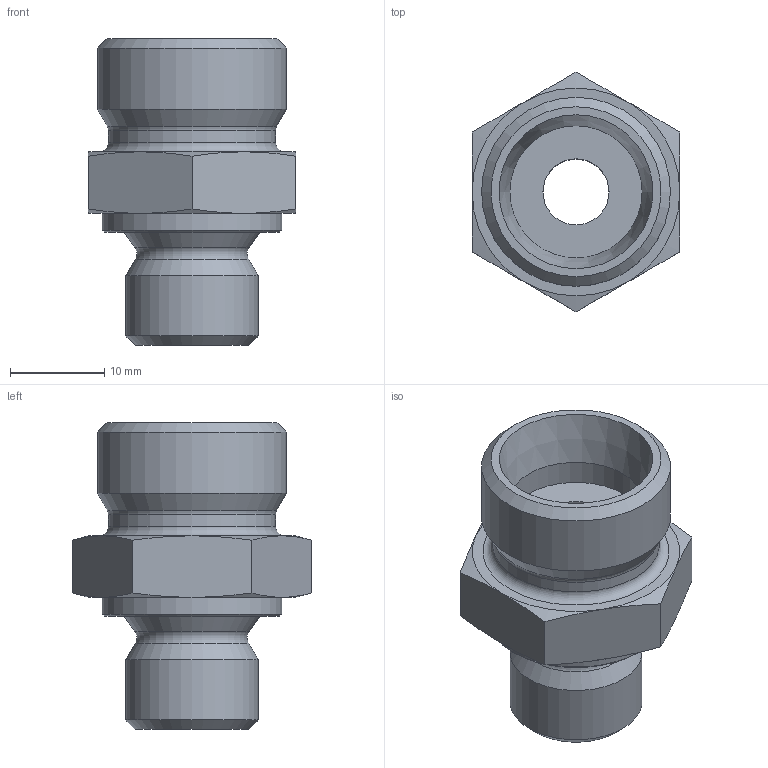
import cadquery as cq
import math

stud_top = 7.4
collar_bottom = 12.0
hex_bottom = 14.0
hex_top = 20.5
upper_thread_bottom = 25.0
total_height = 32.5

stud_radius = 14.0 / 2
upper_radius = 20.0 / 2
thread_chamfer = 1.0

runout_depth = 2.3 / 2
flank_angle = math.radians(30)
upper_flank_angle = math.radians(35)
groove_root_radius = stud_radius - runout_depth
groove_arc_radius = 1.2
neck_radius = upper_radius - runout_depth
neck_fillet = 1.0

collar_radius = 19.0 / 2
collar_chamfer = 0.2

across_flats = 22.0
hex_chamfer_angle = math.radians(15)

through_radius = 7.0 / 2
socket_radius = 14.0 / 2
socket_depth = 8.0
cone_mouth_radius = 16.3 / 2
cone_half_angle = math.radians(12)


def revolve_profile(profile):
    """Turn a closed (radius, height) profile around the Z axis."""
    return profile.close().revolve(360, (0, 0, 0), (0, 1, 0))


def make_stud():
    """Lower threaded end with a round-bottomed groove, and the collar above it."""
    arc_center_radius = groove_root_radius + groove_arc_radius

    lower_tangent_radius = arc_center_radius - groove_arc_radius * math.cos(flank_angle)
    lower_tangent_height = stud_top + (stud_radius - lower_tangent_radius) / math.tan(flank_angle)
    arc_center_height = lower_tangent_height + groove_arc_radius * math.sin(flank_angle)
    upper_tangent_radius = arc_center_radius - groove_arc_radius * math.cos(upper_flank_angle)
    upper_tangent_height = arc_center_height + groove_arc_radius * math.sin(upper_flank_angle)

    upper_flank_height = collar_bottom - upper_tangent_height
    mouth_radius = upper_tangent_radius + upper_flank_height * math.tan(upper_flank_angle)

    profile = (
        cq.Workplane("XZ")
        .lineTo(stud_radius - thread_chamfer, 0)
        .lineTo(stud_radius, thread_chamfer)
        .lineTo(stud_radius, stud_top)
        .lineTo(lower_tangent_radius, lower_tangent_height)
        .threePointArc(
            (groove_root_radius, arc_center_height),
            (upper_tangent_radius, upper_tangent_height),
        )
        .lineTo(mouth_radius, collar_bottom)
        .lineTo(collar_radius - collar_chamfer, collar_bottom)
        .lineTo(collar_radius, collar_bottom + collar_chamfer)
        .lineTo(collar_radius, hex_bottom)
        .lineTo(0, hex_bottom)
    )
    return revolve_profile(profile)


def make_hexagon():
    """Hexagon with corners along Y, trimmed by a cone at each end."""
    height = hex_top - hex_bottom
    corner_radius = across_flats / 2 / math.cos(math.pi / 6)
    prism = (
        cq.Workplane("XY", origin=(0, 0, hex_bottom))
        .polygon(6, 2 * corner_radius)
        .extrude(height)
        .rotate((0, 0, 0), (0, 0, 1), 30)
    )

    face_radius = across_flats / 2
    corner_drop = (corner_radius - face_radius) * math.tan(hex_chamfer_angle)
    trim = revolve_profile(
        cq.Workplane("XZ")
        .moveTo(0, hex_bottom)
        .lineTo(face_radius, hex_bottom)
        .lineTo(corner_radius, hex_bottom + corner_drop)
        .lineTo(corner_radius, hex_top - corner_drop)
        .lineTo(face_radius, hex_top)
        .lineTo(0, hex_top)
    )
    return prism.intersect(trim)


def make_upper_end():
    """Upper threaded end, standing on a neck that flares into the hexagon."""
    neck_top = upper_thread_bottom - (upper_radius - neck_radius) / math.tan(flank_angle)

    tangent_length = neck_fillet * math.tan(flank_angle / 2)
    arc_start = neck_top - tangent_length
    arc_center = neck_radius + neck_fillet
    arc_middle = (
        arc_center - neck_fillet * math.cos(flank_angle / 2),
        arc_start + neck_fillet * math.sin(flank_angle / 2),
    )
    arc_end = (
        arc_center - neck_fillet * math.cos(flank_angle),
        arc_start + neck_fillet * math.sin(flank_angle),
    )

    profile = (
        cq.Workplane("XZ")
        .moveTo(0, hex_top)
        .lineTo(neck_radius + neck_fillet, hex_top)
        .radiusArc((neck_radius, hex_top + neck_fillet), neck_fillet)
        .lineTo(neck_radius, arc_start)
        .threePointArc(arc_middle, arc_end)
        .lineTo(upper_radius, upper_thread_bottom)
        .lineTo(upper_radius, total_height - thread_chamfer)
        .lineTo(upper_radius - thread_chamfer, total_height)
        .lineTo(0, total_height)
    )
    return revolve_profile(profile)


def make_bore():
    """Through bore, tube socket and the sealing cone at its mouth."""
    socket_bottom = total_height - socket_depth
    cone_depth = (cone_mouth_radius - socket_radius) / math.tan(cone_half_angle)
    profile = (
        cq.Workplane("XZ")
        .lineTo(through_radius, 0)
        .lineTo(through_radius, socket_bottom)
        .lineTo(socket_radius, socket_bottom)
        .lineTo(socket_radius, total_height - cone_depth)
        .lineTo(cone_mouth_radius, total_height)
        .lineTo(0, total_height)
    )
    return revolve_profile(profile)


body = make_stud().union(make_hexagon()).union(make_upper_end())
result = body.cut(make_bore())